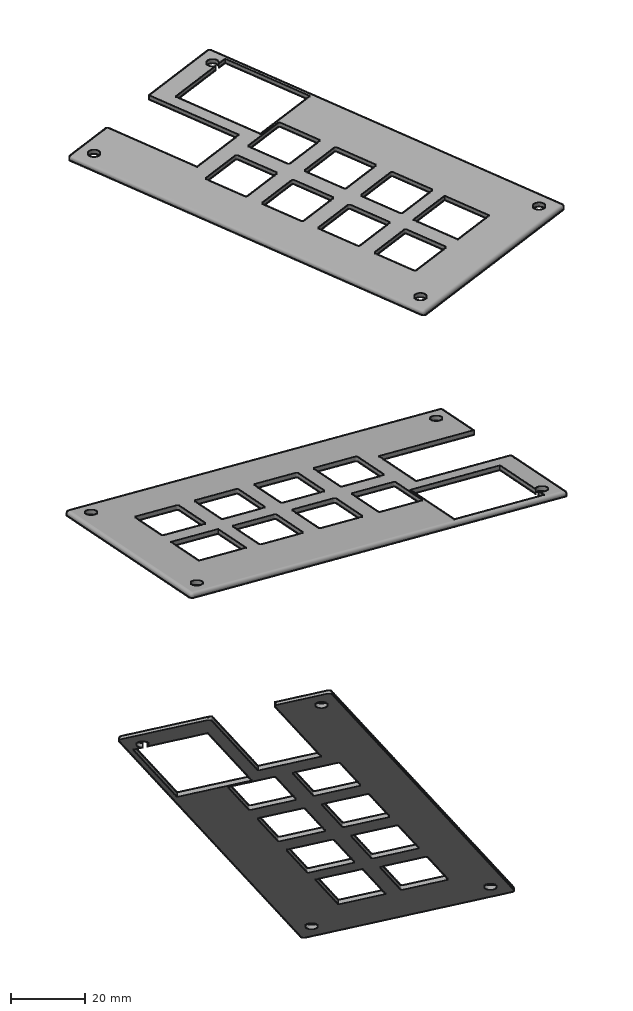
import cadquery as cq

LENGTH = 120.4
WIDTH = 63.0
THICKNESS = 1.5
EDGE_RADIUS = 1.0
LEFT = -LENGTH / 2
BACK = WIDTH / 2

HOLE_DIAMETER = 3.4
HOLE_INSET = 5.0

WINDOW_LENGTH = 28.7
WINDOW_WIDTH = 22.0
WINDOW_INSET_LEFT = 6.6
WINDOW_INSET_BACK = 1.6

NOTCH_DEPTH = 31.0
NOTCH_WIDTH = 18.7
NOTCH_INSET_BACK = 27.5

KEY_SIZE = 14.0
KEY_CORNER_RADIUS = 0.5
KEY_PITCH = 19.0
KEY_COLUMNS = 4
KEY_ROWS = 2
FIRST_KEY_INSET_LEFT = 36.0
FIRST_KEY_INSET_BACK = 16.3
WIDE_KEY_LENGTH = 15.0
WIDE_KEY_INSET_LEFT = 92.2
WIDE_KEY_INSET_BACK = 16.6


def through_block(inset_left, inset_back, length, width):
    """Rectangular cutter as tall as the plate, placed from its left and back sides."""
    return (
        cq.Workplane("XY")
        .box(length, width, THICKNESS, centered=False)
        .translate((LEFT + inset_left, BACK - inset_back - width, 0))
    )


def make_blank():
    """Plate with rounded upright corners and a rounded top rim."""
    blank = cq.Workplane("XY").box(LENGTH, WIDTH, THICKNESS, centered=(True, True, False))
    return blank.edges("|Z or >Z").fillet(EDGE_RADIUS)


def cut_notch(plate):
    """Cut the notch, flared by a convex arc at both upright edges of its mouth."""
    back_y = BACK - NOTCH_INSET_BACK
    front_y = back_y - NOTCH_WIDTH
    radius = EDGE_RADIUS
    cutter = (
        cq.Workplane("XY")
        .moveTo(LEFT, front_y - radius)
        .radiusArc((LEFT + radius, front_y), radius)
        .lineTo(LEFT + NOTCH_DEPTH, front_y)
        .lineTo(LEFT + NOTCH_DEPTH, back_y)
        .lineTo(LEFT + radius, back_y)
        .radiusArc((LEFT, back_y + radius), radius)
        .close()
        .extrude(THICKNESS)
    )
    return plate.cut(cutter)


def cut_window(plate):
    """Cut the rectangular display window."""
    return plate.cut(through_block(WINDOW_INSET_LEFT, WINDOW_INSET_BACK, WINDOW_LENGTH, WINDOW_WIDTH))


def cut_keys(plate):
    """Cut the grid of key openings."""
    for row in range(KEY_ROWS):
        for column in range(KEY_COLUMNS):
            if row == 0 and column == KEY_COLUMNS - 1:
                opening = through_block(WIDE_KEY_INSET_LEFT, WIDE_KEY_INSET_BACK, WIDE_KEY_LENGTH, KEY_SIZE)
            else:
                inset_left = FIRST_KEY_INSET_LEFT + column * KEY_PITCH
                inset_back = FIRST_KEY_INSET_BACK + row * KEY_PITCH
                opening = through_block(inset_left, inset_back, KEY_SIZE, KEY_SIZE)
                opening = opening.edges("|Z").fillet(KEY_CORNER_RADIUS)
            plate = plate.cut(opening)
    return plate


def cut_screw_holes(plate):
    """Drill one hole near each corner; the back left hole breaks into the window."""
    holes = (
        cq.Workplane("XY")
        .rect(LENGTH - 2 * HOLE_INSET, WIDTH - 2 * HOLE_INSET, forConstruction=True)
        .vertices()
        .circle(HOLE_DIAMETER / 2)
        .extrude(THICKNESS)
    )
    return plate.cut(holes)


plate = make_blank()
plate = cut_notch(plate)
plate = cut_window(plate)
plate = cut_keys(plate)
plate = cut_screw_holes(plate)

result = cq.Compound.makeCompound([plate.val()])